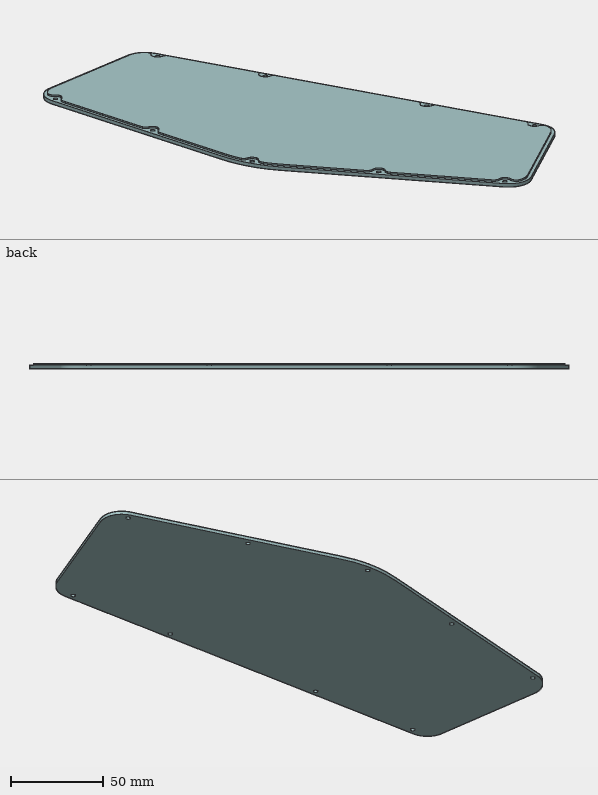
import cadquery as cq
import math

WIDTH = 291.7
DEPTH = 120.8
THICKNESS = 3.0
FLANGE_THICKNESS = 2.0

SLANT = math.radians(15)
CORNER_RADIUS = 12.5
NOSE_RADIUS = 67.0

FLANGE_WIDTH = 1.98
RELIEF_RADIUS = 3.5
RELIEF_BLEND_RADIUS = 3.5

HOLE_DIAMETER = 2.4
REAR_HOLE_X = (48.7, 113.8)
REAR_HOLE_Y = 57.2
SIDE_HOLES = ((68.3, -40.8), (135.5, -23.0))
NOSE_HOLE_Y = -57.2

MATCH_TOLERANCE = 0.003


def all_hole_points():
    points = [(0, NOSE_HOLE_Y)]
    pairs = [(x, REAR_HOLE_Y) for x in REAR_HOLE_X] + list(SIDE_HOLES)
    for x, y in pairs:
        points += [(-x, y), (x, y)]
    return points


def cylinders(points, radius):
    return cq.Workplane("XY").pushPoints(points).circle(radius).extrude(THICKNESS)


def rounded_plate(inset, thickness):
    """Five-sided plate whose rounded outline lies `inset` inside the outer one."""
    half_width = WIDTH / 2 - inset
    half_depth = DEPTH / 2 - inset
    corner_radius = CORNER_RADIUS - inset
    nose_radius = NOSE_RADIUS - inset

    nose_y = -half_depth - nose_radius * (1 / math.cos(SLANT) - 1)
    side_x = half_width + corner_radius * (math.cos(SLANT) + math.sin(SLANT) - 1)
    side_y = nose_y + side_x * math.tan(SLANT)
    rear_x = side_x - (half_depth - side_y) * math.tan(SLANT)
    corners = [
        (rear_x, half_depth),
        (side_x, side_y),
        (0, nose_y),
        (-side_x, side_y),
        (-rear_x, half_depth),
    ]

    plate = cq.Workplane("XY").polyline(corners).close().extrude(thickness)
    plate = plate.edges("|Z and <Y").fillet(nose_radius)

    def is_sharp_corner(edge):
        center = edge.Center()
        return any(math.dist((center.x, center.y), corner) < MATCH_TOLERANCE for corner in corners)

    return plate.edges("|Z").filter(is_sharp_corner).fillet(corner_radius)


def raised_panel(points):
    """Full-thickness panel, cut back around every hole, with the relief mouths blended."""
    panel = rounded_plate(FLANGE_WIDTH, THICKNESS).cut(cylinders(points, RELIEF_RADIUS))

    def is_relief_mouth(edge):
        center = edge.Center()
        distances = [math.dist((center.x, center.y), point) for point in points]
        return any(abs(distance - RELIEF_RADIUS) < MATCH_TOLERANCE for distance in distances)

    return panel.edges("|Z").filter(is_relief_mouth).fillet(RELIEF_BLEND_RADIUS)


hole_points = all_hole_points()
flange = rounded_plate(0, FLANGE_THICKNESS)
holes = cylinders(hole_points, HOLE_DIAMETER / 2)
result = flange.union(raised_panel(hole_points)).cut(holes)